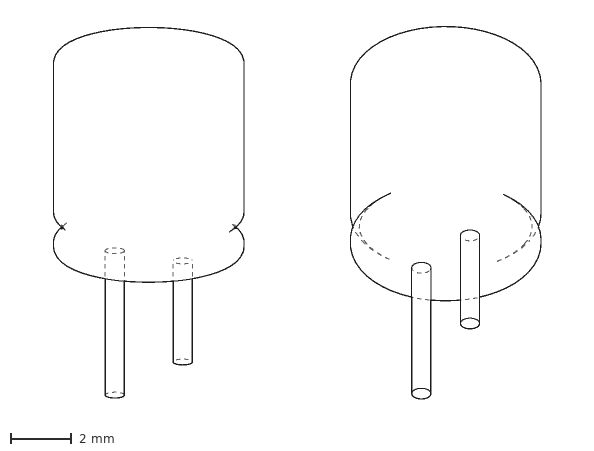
import cadquery as cq
import math


total_height = 12
can_diameter = 6.3
long_lead_length = 5.0
short_lead_length = 3.5
can_height = total_height - long_lead_length
can_radius = can_diameter / 2

edge_radius = 0.35
groove_height = 1.0
groove_depth = 0.3
lip_radius = 0.29
neck_radius = 0.34
flank_angle = math.radians(50)

lead_diameter = 0.64
lead_pitch = 2.5
lead_overlap = 0.12


def arc_offset(radius, angle):
    """Inward and vertical travel along an arc that starts parallel to the axis."""
    return radius * (1 - math.cos(angle)), radius * math.sin(angle)


def make_can():
    """Revolve the half section of the can about the Z axis."""
    floor_radius = can_radius - groove_depth
    lip_in, lip_rise = arc_offset(lip_radius, flank_angle)
    lip_mid_in, lip_mid_rise = arc_offset(lip_radius, flank_angle / 2)
    neck_out, neck_rise = arc_offset(neck_radius, flank_angle)

    flank_run = groove_depth - lip_in - neck_out
    flank_rise = flank_run / math.tan(flank_angle)
    half_width = neck_rise + flank_rise + lip_rise
    lower_lip = groove_height - half_width
    upper_lip = groove_height + half_width

    edge_in, edge_rise = arc_offset(edge_radius, math.pi / 4)
    edge_mid_radius = can_radius - edge_in
    edge_mid_depth = edge_radius - edge_rise
    lip_mid_radius = can_radius - lip_mid_in
    lip_end_radius = can_radius - lip_in
    neck_end_radius = floor_radius + neck_out

    section = (
        cq.Workplane("XZ")
        .lineTo(can_radius - edge_radius, 0)
        .threePointArc((edge_mid_radius, edge_mid_depth), (can_radius, edge_radius))
        .lineTo(can_radius, lower_lip)
        .threePointArc((lip_mid_radius, lower_lip + lip_mid_rise), (lip_end_radius, lower_lip + lip_rise))
        .lineTo(neck_end_radius, groove_height - neck_rise)
        .threePointArc((floor_radius, groove_height), (neck_end_radius, groove_height + neck_rise))
        .lineTo(lip_end_radius, upper_lip - lip_rise)
        .threePointArc((lip_mid_radius, upper_lip - lip_mid_rise), (can_radius, upper_lip))
        .lineTo(can_radius, can_height - edge_radius)
        .threePointArc(
            (edge_mid_radius, can_height - edge_mid_depth),
            (can_radius - edge_radius, can_height),
        )
        .lineTo(0, can_height)
        .close()
    )
    return section.revolve(360, (0, 0, 0), (0, 1, 0))


def make_lead(x, length):
    """Round lead at the given X, reaching the given length below the can."""
    return (
        cq.Workplane("XY", origin=(x, 0, -length))
        .circle(lead_diameter / 2)
        .extrude(length + lead_overlap)
    )


result = make_can()
for x, length in ((-lead_pitch / 2, long_lead_length), (lead_pitch / 2, short_lead_length)):
    result = result.union(make_lead(x, length))